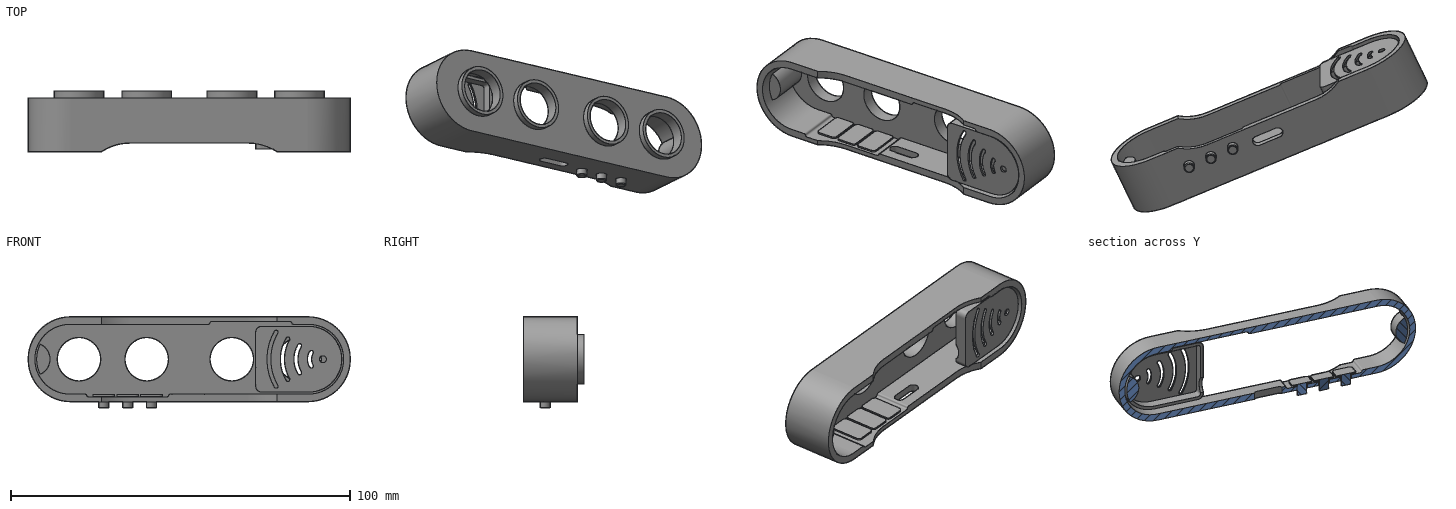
import cadquery as cq
import math

length = 95.0
end_radius = 12.5
depth = 16.0
back_thickness = 2.0
end_wall = 2.0
long_wall = 2.3
cavity_half_length = length / 2 - end_wall
cavity_half_height = end_radius - long_wall
cavity_depth = depth - back_thickness

port_positions = [-32.5, -12.5, 12.5, 32.5]
port_diameter = 12.7
collar_diameter = 14.7
collar_height = 2.0

scoop_depth = 2.6
scoop_half_length = 25.9
scoop_flat_half_length = 17.6

recess_center_x = -18.1
recess_depth = 0.9
recess_floor_length = 23.0
recess_end_run = 1.1

slot_center_x = -0.3
slot_center_y = 7.5
slot_length = 9.5
slot_width = 3.0

button_pitch = 7.0
button_count = 3
pin_center_y = 6.5
pin_diameter = 3.0
pin_hole_diameter = 3.2
pin_protrusion = 1.9
pin_chamfer = 0.3
pad_width = 6.4
pad_front_y = 3.2
pad_back_gap = 0.3
pad_thickness = 0.5
pad_lift = 0.2
pad_corner_radius = 0.95

grille_clearance = 0.6
grille_left_x = 19.6
grille_front_y = 0.9
grille_depth = 3.6
grille_skin = 0.7
grille_rim = 0.95
grille_corner_radius = 1.8
grille_hole_x = 39.4
grille_hole_diameter = 2.0
arc_slot_count = 4
arc_slot_pitch = 4.0
arc_slot_width = 1.1
arc_slot_half_angle = 30
notch_center_z = -5.0
notch_radius = 3.6
notch_depth = 1.0

post_center_x = 45.9
post_radius = 4.8
post_clearance = 0.52
post_front_y = 2.85


def front_sketch(y):
    """Workplane facing the front at depth y: local x is X and local y is Z; extrude(-d) goes to +Y."""
    return cq.Workplane("XZ", origin=(0, y, 0))


def cavity_block(inset, y, thickness):
    """Stadium block that fills the cavity outline, smaller by the inset all round."""
    block_length = 2 * (cavity_half_length - inset)
    block_height = 2 * (cavity_half_height - inset)
    return front_sketch(y).slot2D(block_length, block_height).extrude(-thickness)


def recess_cutter():
    """Shallow prism cut into the floor over the full cavity depth; two tangent arcs form each end."""
    bottom = recess_floor_length / 2
    top = bottom + recess_end_run
    middle = bottom + recess_end_run / 2
    arc_run = recess_end_run / 2
    arc_rise = recess_depth / 2
    arc_radius = (arc_run**2 + arc_rise**2) / (2 * arc_rise)
    half_sweep = math.asin(arc_run / arc_radius) / 2
    run = arc_radius * math.sin(half_sweep)
    rise = arc_radius * (1 - math.cos(half_sweep))
    return (
        front_sketch(0)
        .center(recess_center_x, -cavity_half_height)
        .moveTo(-top, 0)
        .threePointArc((-top + run, -rise), (-middle, -arc_rise))
        .threePointArc((-bottom - run, -recess_depth + rise), (-bottom, -recess_depth))
        .lineTo(bottom, -recess_depth)
        .threePointArc((bottom + run, -recess_depth + rise), (middle, -arc_rise))
        .threePointArc((top - run, -rise), (top, 0))
        .close()
        .extrude(-cavity_depth)
    )


def scoop_cutter():
    """Prism that lowers the middle of the front rim, with arcs tangent to its flat."""
    run = scoop_half_length - scoop_flat_half_length
    radius = (run**2 + scoop_depth**2) / (2 * scoop_depth)
    half_sweep = math.asin(run / radius) / 2
    mid_x = scoop_flat_half_length + radius * math.sin(half_sweep)
    mid_y = scoop_depth - radius * (1 - math.cos(half_sweep))
    return (
        cq.Workplane("XY")
        .moveTo(-scoop_half_length, 0)
        .threePointArc((-mid_x, mid_y), (-scoop_flat_half_length, scoop_depth))
        .lineTo(scoop_flat_half_length, scoop_depth)
        .threePointArc((mid_x, mid_y), (scoop_half_length, 0))
        .close()
        .extrude(end_radius, both=True)
    )


def button_positions():
    middle = (button_count - 1) / 2
    return [recess_center_x + (i - middle) * button_pitch for i in range(button_count)]


def make_housing():
    port_points = [(x, 0) for x in port_positions]
    body = front_sketch(0).slot2D(length, 2 * end_radius).extrude(-depth)
    body = body.cut(cavity_block(0, 0, cavity_depth))
    collars = front_sketch(depth).pushPoints(port_points).circle(collar_diameter / 2).extrude(-collar_height)
    ports = (
        front_sketch(cavity_depth)
        .pushPoints(port_points)
        .circle(port_diameter / 2)
        .extrude(-(back_thickness + collar_height))
    )
    body = body.union(collars).cut(ports).cut(scoop_cutter())

    floor_recess = recess_cutter()
    ceiling_recess = floor_recess.rotate((0, 0, 0), (0, 1, 0), 180)
    body = body.cut(floor_recess).cut(ceiling_recess)

    floor_plane = cq.Workplane("XY", origin=(0, 0, -end_radius))
    slot_plane = floor_plane.center(slot_center_x, slot_center_y)
    cable_slot = slot_plane.slot2D(slot_length, slot_width).extrude(long_wall)
    pin_points = [(x, pin_center_y) for x in button_positions()]
    pin_holes = floor_plane.pushPoints(pin_points).circle(pin_hole_diameter / 2).extrude(long_wall)
    return body.cut(cable_slot).cut(pin_holes)


def make_button(x):
    pad_bottom = -cavity_half_height - recess_depth + pad_lift
    pad_length = cavity_depth - pad_back_gap - pad_front_y
    pad = (
        cq.Workplane("XY", origin=(x, pad_front_y + pad_length / 2, pad_bottom))
        .rect(pad_width, pad_length)
        .extrude(pad_thickness)
        .edges("|Z")
        .fillet(pad_corner_radius)
    )
    pin_bottom = -end_radius - pin_protrusion
    pin = (
        cq.Workplane("XY", origin=(x, pin_center_y, pin_bottom))
        .circle(pin_diameter / 2)
        .extrude(pad_bottom - pin_bottom)
        .faces("<Z")
        .chamfer(pin_chamfer)
    )
    return pad.union(pin)


def arc_slot_cutter(radius):
    """Round-ended slot along an arc to the left of the grille hole."""

    def point(r, degrees):
        angle = math.radians(degrees)
        return (grille_hole_x - r * math.cos(angle), r * math.sin(angle))

    inner = radius - arc_slot_width / 2
    outer = radius + arc_slot_width / 2
    cap = math.degrees(arc_slot_width / 2 / radius)
    end = arc_slot_half_angle
    return (
        front_sketch(grille_front_y)
        .moveTo(*point(outer, -end))
        .threePointArc(point(outer, 0), point(outer, end))
        .threePointArc(point(radius, end + cap), point(inner, end))
        .threePointArc(point(inner, 0), point(inner, -end))
        .threePointArc(point(radius, -end - cap), point(outer, -end))
        .close()
        .extrude(-grille_skin)
    )


def grille_block(inset, y, thickness):
    """Block with the grille outline, smaller by the inset all round."""
    left_x = grille_left_x + inset
    kept_half = cq.Workplane("XY").box(length, length, length).translate((left_x + length / 2, 0, 0))
    block = cavity_block(grille_clearance + inset, y, thickness).intersect(kept_half)
    return block.edges("|Y and <X").fillet(grille_corner_radius - inset)


def make_grille():
    back_y = grille_front_y + grille_depth
    cover = grille_block(0, grille_front_y, grille_depth)
    hollow = grille_block(grille_rim, grille_front_y + grille_skin, grille_depth - grille_skin)
    cover = cover.cut(hollow)
    for i in range(arc_slot_count):
        cover = cover.cut(arc_slot_cutter((i + 1) * arc_slot_pitch))
    hole = front_sketch(grille_front_y).center(grille_hole_x, 0).circle(grille_hole_diameter / 2)
    cable_notch = (
        cq.Workplane("YZ", origin=(grille_left_x, back_y - notch_depth + notch_radius, notch_center_z))
        .circle(notch_radius)
        .extrude(grille_rim)
    )
    return cover.cut(hole.extrude(-grille_skin)).cut(cable_notch)


def make_post(center_x):
    """Half-moon post from its front face back to the cavity's back wall."""
    height = cavity_depth - post_front_y
    disc = front_sketch(post_front_y).center(center_x, 0).circle(post_radius).extrude(-height)
    return disc.intersect(cavity_block(post_clearance, post_front_y, height))


housing = make_housing()
buttons = [make_button(x) for x in button_positions()]
posts = [make_post(x) for x in (-post_center_x, post_center_x)]
grille = make_grille().cut(posts[1])

result = cq.Compound.makeCompound(
    [
        housing.val(),
        *[button.val() for button in buttons],
        grille.val(),
        *[post.val() for post in posts],
    ]
)